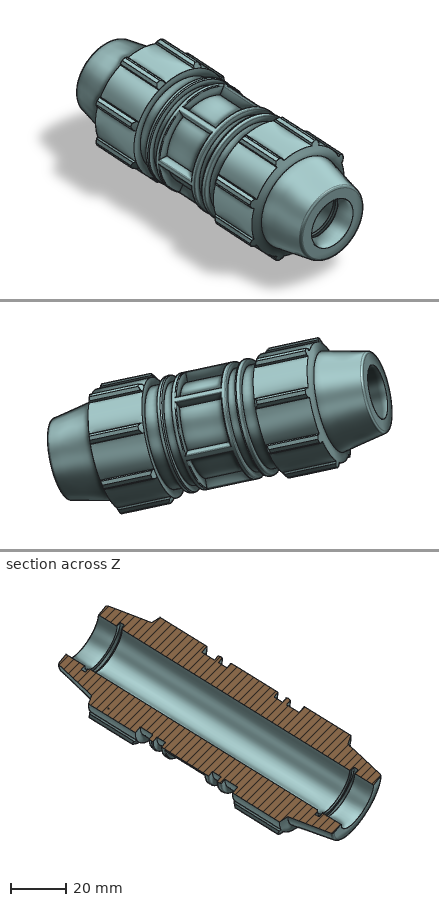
import cadquery as cq
import math

HALF_LENGTH = 61.0
BORE_RADIUS = 10.0

BODY_RADIUS = 19.2
FLANGE_RADIUS = 21.6

COLLAR_HALF_LENGTH = 10.5
COLLAR_FILLET = 0.35
POCKET_HALF_LENGTH = 8.65
POCKET_FLOOR_RADIUS = 17.8
POCKET_COUNT = 6
BAR_WIDTH = 2.3
CUT_MARGIN = 1.0

RING_INNER_X = 14.15
RING_RIDGE_X = 14.7
RING_OUTER_X = 16.05
RING_RIDGE_RADIUS = 21.7
RING_EDGE_RADIUS = 21.45
RING_FILLET = 0.2

NUT_BACK_X = 21.5
NUT_RADIUS = 22.28
NUT_FRONT_X = 43.55
NUT_CHAMFER_LENGTH = 1.2
NOSE_BASE_RADIUS = 18.7
NOSE_TIP_RADIUS = 15.1
NOSE_FILLET = 0.9

RIB_COUNT = 8
RIB_SIDES = 8
RIB_RADIUS = 2.0
RIB_ENVELOPE_RADIUS = NUT_RADIUS + RIB_RADIUS
RIB_BACK_TAPER = 0.75

GAP_OUTER_X = HALF_LENGTH - 8.3
GAP_INNER_X = HALF_LENGTH - 10.0
GAP_RADIUS = 12.0
BODY_MOUTH_CHAMFER = 0.6


def revolve_about_x(points):
    """Revolve an outline of (x, radius) points about the X axis."""
    return cq.Workplane("XY").polyline(points).close().revolve(360, (0, 0, 0), (1, 0, 0))


def around_x(shape, count, first_angle=0.0):
    """Return copies of a shape spaced evenly about the X axis."""
    step = 360 / count
    return [shape.rotate((0, 0, 0), (1, 0, 0), first_angle + i * step) for i in range(count)]


def make_pocketed_collar():
    """Collar with open pockets, every edge of its rim rounded."""
    cutter_radius = FLANGE_RADIUS + CUT_MARGIN
    collar = cq.Workplane("YZ").circle(FLANGE_RADIUS).extrude(COLLAR_HALF_LENGTH, both=True)
    recess = (
        cq.Workplane("YZ")
        .circle(cutter_radius)
        .circle(POCKET_FLOOR_RADIUS)
        .extrude(POCKET_HALF_LENGTH, both=True)
    )
    bar = cq.Workplane("XY").box(
        2 * POCKET_HALF_LENGTH, cutter_radius, BAR_WIDTH, centered=(True, False, True)
    )
    for copy in around_x(bar, POCKET_COUNT):
        recess = recess.cut(copy)
    collar = collar.cut(recess)
    rim_faces = [
        face
        for face in collar.faces("%CYLINDER").vals()
        if math.hypot(*face.Vertices()[0].toTuple()[1:]) > BODY_RADIUS
    ]
    return collar.newObject(rim_faces).edges().fillet(COLLAR_FILLET)


def make_stop_ring():
    """Ring with a low ridge around its rim."""
    ring = revolve_about_x([
        (RING_INNER_X, 0),
        (RING_INNER_X, RING_EDGE_RADIUS),
        (RING_RIDGE_X, RING_RIDGE_RADIUS),
        (RING_OUTER_X, RING_EDGE_RADIUS),
        (RING_OUTER_X, 0),
    ])
    return ring.faces(">X").edges().fillet(RING_FILLET)


def make_rib():
    """Octagonal rib at the +Y side, one flat facing outward, sloped at its back end."""
    length = NUT_FRONT_X - NUT_BACK_X
    rib = (
        cq.Workplane("YZ", origin=(NUT_BACK_X, NUT_RADIUS, 0))
        .transformed(rotate=(0, 0, 180 / RIB_SIDES))
        .polygon(RIB_SIDES, 2 * RIB_RADIUS)
        .extrude(length)
    )
    back_cone = revolve_about_x([
        (NUT_BACK_X, 0),
        (NUT_BACK_X, NUT_RADIUS),
        (NUT_BACK_X + RIB_BACK_TAPER * RIB_RADIUS, RIB_ENVELOPE_RADIUS),
        (NUT_FRONT_X, RIB_ENVELOPE_RADIUS),
        (NUT_FRONT_X, 0),
    ])
    return rib.intersect(back_cone)


def make_nut():
    """Ribbed nut at the +X end of the body."""
    length = NUT_FRONT_X - NUT_BACK_X
    nut = cq.Workplane("YZ", origin=(NUT_BACK_X, 0, 0)).circle(NUT_RADIUS).extrude(length)
    for rib in around_x(make_rib(), RIB_COUNT, 180 / RIB_COUNT):
        nut = nut.union(rib)
    front_taper = NUT_CHAMFER_LENGTH / (NUT_RADIUS - NOSE_BASE_RADIUS)
    front_cone = revolve_about_x([
        (NUT_BACK_X, 0),
        (NUT_BACK_X, RIB_ENVELOPE_RADIUS),
        (NUT_FRONT_X - front_taper * (RIB_ENVELOPE_RADIUS - NOSE_BASE_RADIUS), RIB_ENVELOPE_RADIUS),
        (NUT_FRONT_X, NOSE_BASE_RADIUS),
        (NUT_FRONT_X, 0),
    ])
    return nut.intersect(front_cone)


def make_nose():
    """Cone in front of the nut, with a rounded tip."""
    nose = revolve_about_x([
        (NUT_FRONT_X, 0),
        (NUT_FRONT_X, NOSE_BASE_RADIUS),
        (HALF_LENGTH, NOSE_TIP_RADIUS),
        (HALF_LENGTH, 0),
    ])
    return nose.faces(">X").edges().fillet(NOSE_FILLET)


def make_bore_gap():
    """Groove in the bore behind the nose, with the chamfered mouth of the body."""
    return revolve_about_x([
        (GAP_INNER_X - BODY_MOUTH_CHAMFER, 0),
        (GAP_INNER_X - BODY_MOUTH_CHAMFER, BORE_RADIUS),
        (GAP_INNER_X, BORE_RADIUS + BODY_MOUTH_CHAMFER),
        (GAP_INNER_X, GAP_RADIUS),
        (GAP_OUTER_X, GAP_RADIUS),
        (GAP_OUTER_X, 0),
    ])


def make_body():
    """Body between the nuts, with the pockets of the collar left open."""
    core = cq.Workplane("YZ").circle(POCKET_FLOOR_RADIUS).extrude(NUT_BACK_X, both=True)
    sleeve_length = NUT_BACK_X - COLLAR_HALF_LENGTH
    sleeve = cq.Workplane("YZ", origin=(COLLAR_HALF_LENGTH, 0, 0)).circle(BODY_RADIUS).extrude(sleeve_length)
    return core.union(sleeve).union(sleeve.mirror("YZ")).union(make_pocketed_collar())


result = make_body()

for end_part in (make_stop_ring(), make_nut(), make_nose()):
    result = result.union(end_part).union(end_part.mirror("YZ"))

bore = cq.Workplane("YZ").circle(BORE_RADIUS).extrude(HALF_LENGTH, both=True)
bore_gap = make_bore_gap()
result = result.cut(bore).cut(bore_gap).cut(bore_gap.mirror("YZ"))